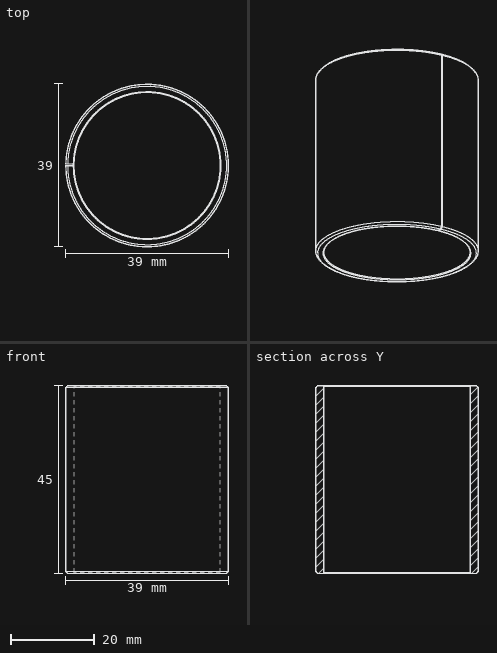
import cadquery as cq

outer_diameter = 39.0
inner_diameter = 35.0
length = 45.0
outer_chamfer = 0.5
inner_chamfer = 0.2
gap_angle = 1.0

outer_radius = outer_diameter / 2
inner_radius = inner_diameter / 2


def make_wall_section():
    """Wall cross-section on the -X side of the XZ plane, with chamfered corners."""
    return (
        cq.Workplane("XZ")
        .moveTo(-inner_radius - inner_chamfer, 0)
        .lineTo(-outer_radius + outer_chamfer, 0)
        .lineTo(-outer_radius, outer_chamfer)
        .lineTo(-outer_radius, length - outer_chamfer)
        .lineTo(-outer_radius + outer_chamfer, length)
        .lineTo(-inner_radius - inner_chamfer, length)
        .lineTo(-inner_radius, length - inner_chamfer)
        .lineTo(-inner_radius, inner_chamfer)
        .close()
    )


def make_split_sleeve():
    """Sweep the wall counterclockwise about Z from -X, leaving the gap just on the +Y side of the start."""
    axis_start = (0, 0, 0)
    axis_end = (0, 1, 0)
    return make_wall_section().revolve(360 - gap_angle, axis_start, axis_end)


result = make_split_sleeve()